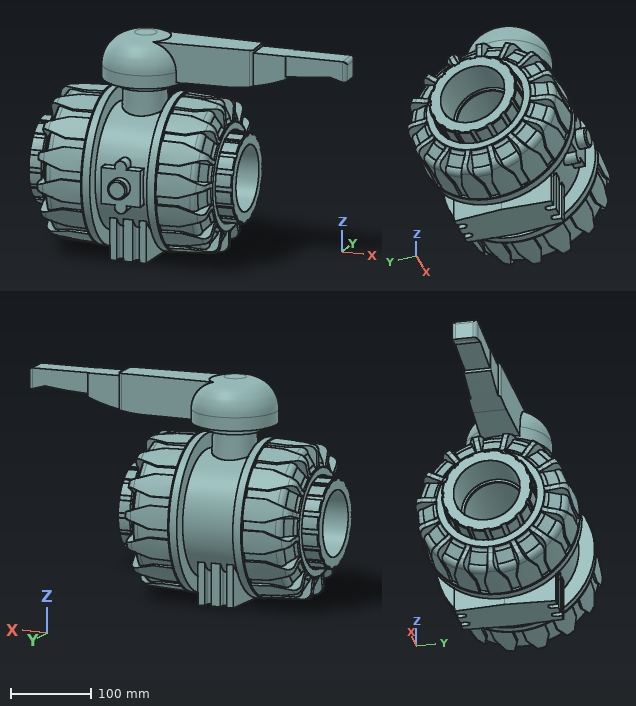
import cadquery as cq
BORE_DIA = 78.0
PIPE_END_X = 135.3

BARREL_DIA = 162.6
SHOULDER_X = 37.8
THREAD_DIA = 156.6
HOUSING_END_X = 84.0
STEM_TOP_DIA = 56.0
STEM_BOTTOM_DIA = 59.0
STEM_BOTTOM_Z = 75.0
COLLAR_DIA = 70.0
COLLAR_BOTTOM_Z = 110.0
HANDLE_BOTTOM_Z = 119.0

PLATE_WIDTH = 52.0
PLATE_HEIGHT = 47.0
PLATE_FACE_Y = -92.2
LUG_DIA = 16.0
LUG_OFFSET = 26.2
PIN_DIA = 25.4
PIN_FACE_Y = -106.0
PIN_CHAMFER = 2.0
PLATE_ROOT_Y = -60.0

FOOT_BOTTOM_Z = -104.6
FOOT_WIDTH = 129.4
FOOT_TOP_Z = -45.0
FOOT_LENGTH = 55.8
FOOT_FACE_LENGTH = 48.0
FOOT_SLOT_WIDTH = 8.6
FOOT_SLOT_X = 10.6
FOOT_SLOT_DEPTH = 12.2

FLANGE_OUTER_X = 48.6
FLANGE_DIA = 202.6
NUT_FACE_X = 114.0
NUT_RIB_END_X = 111.5
NUT_OPENING_DIA = 119.0
NUT_LIP_X = 98.0
SLOT_END_X = 50.0
RIB_COUNT = 15
RIB_ROOT_Z = 64.5
RIB_FLANGE_RADIUS = 100.6
RIB_END_RADIUS = 98.0
RIB_CORNER_FILLET = 9.6
RIB_HALF_WIDTH = 14.8
RIB_FOOT_RADIUS = 76.0
RIB_FOOT_FILLET = 8.5
RIB_TIP_HALF_WIDTH = 3.4
RIB_TAPER_X = 77.5
CORE_FLANGE_RADIUS = 97.3
CORE_SHOULDER_RADIUS = 96.3
CORE_SHOULDER_FILLET = 8.0
CORE_SHOULDER_X = 101.0
CORE_TIP_RADIUS = 74.0
CORE_TIP_FILLET = 5.0
CORE_TIP_X = 108.4
NUT_HUB_RADIUS = 69.0

CONNECTOR_DIA = 115.7
CONNECTOR_COLLAR_DIA = 151.0
SOCKET_DIA = 84.9
SOCKET_DEPTH = 49.0
GROOVE_COUNT = 16
GROOVE_WIDTH = 6.4
GROOVE_DEPTH = 2.6
PANEL_CHAMFER = 1.2

DOME_DIA = 110.0
DOME_TOP_Z = 177.4
DOME_FILLET = 41.0

ARM_START_X = 10.0
ARM_END_X = 149.5
ARM_START_HALF_WIDTH = 26.0
ARM_END_HALF_WIDTH = 20.4
ARM_CORNER = 4.5
ARM_TOP_Z = 173.2
ARM_BOTTOM_Z = 122.7
ARM_CURVE_X = 103.0
NECK_END_X = 192.0
NECK_HALF_WIDTH = 17.5
NECK_CORNER = 1.2
NECK_TOP_Z = 169.4
NECK_START_BOTTOM_Z = 126.0
NECK_END_BOTTOM_Z = 138.4
GRIP_HALF_WIDTH = 16.2
GRIP_END_X = 272.0
GRIP_CORNER = 5.0
GRIP_START_BOTTOM_Z = 142.3
GRIP_HIGH_X = 250.0
GRIP_HIGH_BOTTOM_Z = 147.3
GRIP_END_BOTTOM_Z = 142.3


def cylinder_x(diameter, x_start, x_end):
    return cq.Workplane("YZ", origin=(x_start, 0, 0)).circle(diameter / 2).extrude(x_end - x_start)


def make_stem():
    cone = (
        cq.Workplane("XY", origin=(0, 0, STEM_BOTTOM_Z))
        .circle(STEM_BOTTOM_DIA / 2)
        .workplane(offset=COLLAR_BOTTOM_Z - STEM_BOTTOM_Z)
        .circle(STEM_TOP_DIA / 2)
        .loft()
    )
    collar = (
        cq.Workplane("XY", origin=(0, 0, COLLAR_BOTTOM_Z))
        .circle(COLLAR_DIA / 2)
        .extrude(HANDLE_BOTTOM_Z - COLLAR_BOTTOM_Z)
    )
    return cone.union(collar)


def make_plate():
    root = cq.Workplane("XZ", origin=(0, PLATE_ROOT_Y, 0))
    thickness = PLATE_ROOT_Y - PLATE_FACE_Y
    plate = root.rect(PLATE_WIDTH, PLATE_HEIGHT).extrude(thickness)
    lugs = root.pushPoints([(0, LUG_OFFSET), (0, -LUG_OFFSET)]).circle(LUG_DIA / 2).extrude(thickness)
    pin = (
        root.circle(PIN_DIA / 2)
        .extrude(PLATE_ROOT_Y - PIN_FACE_Y)
        .faces("<Y")
        .chamfer(PIN_CHAMFER)
    )
    return plate.union(lugs).union(pin)


def make_foot():
    half_width = FOOT_WIDTH / 2
    half_face = FOOT_FACE_LENGTH / 2
    half_length = FOOT_LENGTH / 2
    foot = (
        cq.Workplane("XY", origin=(0, 0, FOOT_BOTTOM_Z))
        .moveTo(-half_face, -half_width)
        .lineTo(half_face, -half_width)
        .lineTo(half_length, 0)
        .lineTo(half_face, half_width)
        .lineTo(-half_face, half_width)
        .lineTo(-half_length, 0)
        .close()
        .extrude(FOOT_TOP_Z - FOOT_BOTTOM_Z)
    )
    slot_ends = [(x, y) for x in (-FOOT_SLOT_X, FOOT_SLOT_X) for y in (-half_width, half_width)]
    slots = (
        cq.Workplane("XY", origin=(0, 0, FOOT_BOTTOM_Z))
        .pushPoints(slot_ends)
        .slot2D(2 * FOOT_SLOT_DEPTH, FOOT_SLOT_WIDTH, 90)
        .extrude(FOOT_TOP_Z - FOOT_BOTTOM_Z)
    )
    return foot.cut(slots)


def make_housing():
    barrel = cylinder_x(BARREL_DIA, -SHOULDER_X, SHOULDER_X)
    spigots = cylinder_x(THREAD_DIA, -HOUSING_END_X, HOUSING_END_X)
    bore = cylinder_x(BORE_DIA, -HOUSING_END_X, HOUSING_END_X)
    return barrel.union(make_stem()).union(make_plate()).union(make_foot()).union(spigots).cut(bore)


def make_nut_core():
    """Flange and the floor of the pockets between the ribs."""
    profile = (
        cq.Workplane("XY")
        .moveTo(-SHOULDER_X, 0)
        .lineTo(-SHOULDER_X, FLANGE_DIA / 2)
        .lineTo(-FLANGE_OUTER_X, FLANGE_DIA / 2)
        .lineTo(-FLANGE_OUTER_X, RIB_FLANGE_RADIUS)
        .lineTo(-SLOT_END_X, RIB_FLANGE_RADIUS)
        .lineTo(-SLOT_END_X, CORE_FLANGE_RADIUS)
        .lineTo(-CORE_SHOULDER_X + CORE_SHOULDER_FILLET, CORE_SHOULDER_RADIUS)
        .radiusArc((-CORE_SHOULDER_X, CORE_SHOULDER_RADIUS - CORE_SHOULDER_FILLET), -CORE_SHOULDER_FILLET)
        .lineTo(-CORE_TIP_X, CORE_TIP_RADIUS)
        .radiusArc((-NUT_RIB_END_X, NUT_HUB_RADIUS), CORE_TIP_FILLET)
        .lineTo(-NUT_FACE_X, NUT_HUB_RADIUS)
        .lineTo(-NUT_FACE_X, 0)
        .close()
    )
    return profile.revolve(360, (0, 0, 0), (1, 0, 0))


def make_rib_envelope():
    """Solid of revolution that the outer surfaces of the ribs lie on."""
    profile = (
        cq.Workplane("XY")
        .moveTo(-SHOULDER_X, 0)
        .lineTo(-SHOULDER_X, RIB_FLANGE_RADIUS)
        .lineTo(-FLANGE_OUTER_X, RIB_FLANGE_RADIUS)
        .lineTo(-NUT_RIB_END_X + RIB_CORNER_FILLET, RIB_END_RADIUS)
        .radiusArc((-NUT_RIB_END_X, RIB_END_RADIUS - RIB_CORNER_FILLET), -RIB_CORNER_FILLET)
        .lineTo(-NUT_RIB_END_X, RIB_FOOT_RADIUS)
        .radiusArc((-NUT_FACE_X, NUT_HUB_RADIUS), RIB_FOOT_FILLET)
        .lineTo(-NUT_FACE_X, 0)
        .close()
    )
    return profile.revolve(360, (0, 0, 0), (1, 0, 0))


def make_rib():
    outline = (
        cq.Workplane("XY", origin=(0, 0, RIB_ROOT_Z))
        .moveTo(-FLANGE_OUTER_X, -RIB_HALF_WIDTH)
        .lineTo(-FLANGE_OUTER_X, RIB_HALF_WIDTH)
        .lineTo(-RIB_TAPER_X, RIB_HALF_WIDTH)
        .lineTo(-NUT_RIB_END_X, RIB_TIP_HALF_WIDTH)
        .lineTo(-NUT_FACE_X, RIB_TIP_HALF_WIDTH)
        .lineTo(-NUT_FACE_X, -RIB_TIP_HALF_WIDTH)
        .lineTo(-NUT_RIB_END_X, -RIB_TIP_HALF_WIDTH)
        .lineTo(-RIB_TAPER_X, -RIB_HALF_WIDTH)
        .close()
    )
    return outline.extrude(FLANGE_DIA / 2).intersect(make_rib_envelope())


def make_nut():
    nut = make_nut_core()
    rib = make_rib()
    for index in range(RIB_COUNT):
        nut = nut.union(rib.rotate((0, 0, 0), (1, 0, 0), index * 360 / RIB_COUNT))
    nut = nut.cut(cylinder_x(NUT_OPENING_DIA, -NUT_FACE_X, -SHOULDER_X))
    return nut.cut(cylinder_x(THREAD_DIA, -NUT_LIP_X, -SHOULDER_X))


def make_connector():
    pipe = cylinder_x(CONNECTOR_DIA, -PIPE_END_X, -HOUSING_END_X).faces("<X").edges().chamfer(PANEL_CHAMFER)
    groove = (
        cq.Workplane("XY")
        .box(PIPE_END_X - NUT_LIP_X, GROOVE_WIDTH, 2 * GROOVE_DEPTH)
        .translate((-(PIPE_END_X + NUT_LIP_X) / 2, 0, CONNECTOR_DIA / 2))
    )
    for index in range(GROOVE_COUNT):
        pipe = pipe.cut(groove.rotate((0, 0, 0), (1, 0, 0), index * 360 / GROOVE_COUNT))
    collar = cylinder_x(CONNECTOR_COLLAR_DIA, -NUT_LIP_X, -HOUSING_END_X)
    socket = cylinder_x(SOCKET_DIA, -PIPE_END_X, -PIPE_END_X + SOCKET_DEPTH)
    bore = cylinder_x(BORE_DIA, -PIPE_END_X, -HOUSING_END_X)
    return pipe.union(collar).cut(socket).cut(bore)


def make_dome():
    return (
        cq.Workplane("XY", origin=(0, 0, HANDLE_BOTTOM_Z))
        .circle(DOME_DIA / 2)
        .extrude(DOME_TOP_Z - HANDLE_BOTTOM_Z)
        .faces(">Z")
        .edges()
        .fillet(DOME_FILLET)
    )


def make_arm():
    return (
        cq.Workplane("XY", origin=(0, 0, ARM_BOTTOM_Z))
        .moveTo(ARM_START_X, -ARM_START_HALF_WIDTH)
        .lineTo(ARM_END_X, -ARM_END_HALF_WIDTH)
        .lineTo(ARM_END_X, ARM_END_HALF_WIDTH)
        .lineTo(ARM_START_X, ARM_START_HALF_WIDTH)
        .close()
        .extrude(ARM_TOP_Z - ARM_BOTTOM_Z)
        .edges("|Z and >X")
        .fillet(ARM_CORNER)
    )


def make_lever_bar(end_x, half_width):
    """Straight bar that runs from inside the dome to end_x."""
    length = end_x - ARM_START_X
    return (
        cq.Workplane("XY", origin=(ARM_START_X + length / 2, 0, ARM_BOTTOM_Z))
        .rect(length, 2 * half_width)
        .extrude(NECK_TOP_Z - ARM_BOTTOM_Z)
    )


def make_neck():
    return make_lever_bar(NECK_END_X, NECK_HALF_WIDTH).edges("|Z and >X").fillet(NECK_CORNER)


def make_grip():
    bar = make_lever_bar(GRIP_END_X, GRIP_HALF_WIDTH)
    return bar.faces(">X").edges("not <Z").fillet(GRIP_CORNER)


def make_lever_side():
    """Side outline of the lever, which sets its curved underside."""
    return (
        cq.Workplane("XZ", origin=(0, DOME_DIA / 2, 0))
        .moveTo(ARM_START_X, ARM_TOP_Z)
        .lineTo(ARM_START_X, ARM_BOTTOM_Z)
        .lineTo(ARM_CURVE_X, ARM_BOTTOM_Z)
        .threePointArc((ARM_END_X, NECK_START_BOTTOM_Z), (NECK_END_X, NECK_END_BOTTOM_Z))
        .lineTo(NECK_END_X, GRIP_START_BOTTOM_Z)
        .spline([(GRIP_HIGH_X, GRIP_HIGH_BOTTOM_Z)], tangents=[(1, 0), (1, 0.1)], includeCurrent=True)
        .lineTo(GRIP_END_X - GRIP_CORNER, GRIP_END_BOTTOM_Z)
        .lineTo(GRIP_END_X, GRIP_END_BOTTOM_Z)
        .lineTo(GRIP_END_X, ARM_TOP_Z)
        .close()
        .extrude(DOME_DIA)
    )


def make_handle():
    lever = make_arm().union(make_neck()).union(make_grip()).intersect(make_lever_side())
    return make_dome().union(lever)


housing = make_housing()
handle = make_handle()
bodies = [housing.val(), handle.val()]

nut = make_nut()
connector = make_connector()
for turn in (0, 180):
    for body in (nut, connector):
        bodies.append(body.rotate((0, 0, 0), (0, 1, 0), turn).val())

result = cq.Compound.makeCompound(bodies)